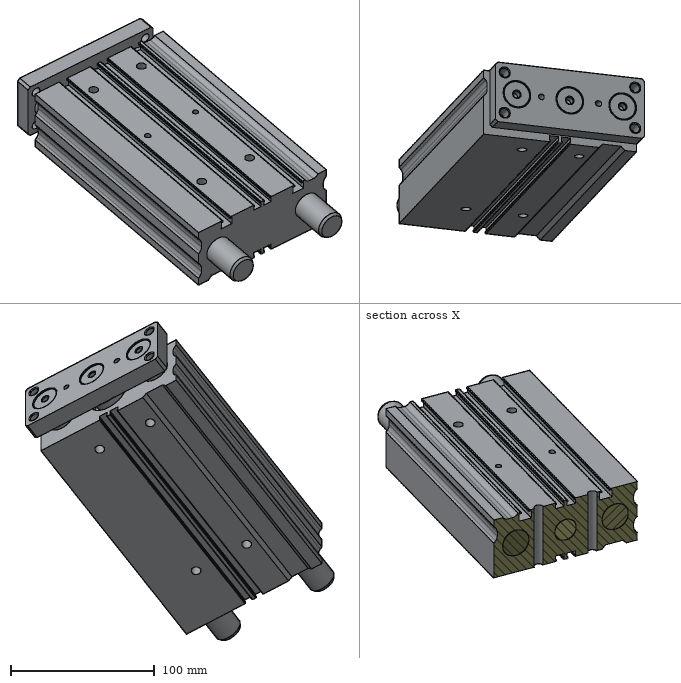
import cadquery as cq
import math


total_length = 238.0

plate_length, plate_width, plate_height = 12.1, 109.5, 44.3
plate_corner_chamfer = 2.0
corner_hole_y, corner_hole_z = 47.8, 15.0
corner_hole_diameter = 6.7
corner_hole_mouth_diameter = 8.0

housing_start, housing_length = 22.0, 187.3
housing_width, housing_height = 112.0, 48.0

rod_end_recess = 0.5
rod_end_chamfer = 0.7
guide_diameter, guide_y = 20.0, 38.8
guide_tip_chamfer_length, guide_tip_chamfer_depth = 2.1, 1.2
piston_diameter, piston_head_diameter = 16.2, guide_diameter
piston_end = housing_start + housing_length / 2
socket_diameter, socket_mouth_diameter, socket_depth = 5.0, 6.2, 6.0
socket_cone_angle = 118.0

collar_diameter, collar_projection = 22.8, 2.9
collar_recess_diameter, collar_recess_depth = 29.0, 6.0

mount_y = 21.0
mount_hole_diameter = 6.7
mount_hole_spacing = 124.0
mount_pattern_x = 105.0
dowel_diameter = 4.0
dowel_slot_length = 4.5
dowel_depth = 6.0

slot_lip, slot_mouth_chamfer = 1.5, 0.6
slot_y = 31.5
slot_opening, slot_inside_width, slot_depth = 6.0, 9.3, 7.0
channel_opening, channel_inside_width, channel_depth = 5.2, 6.5, 4.5
rib_width = 3.5

side_groove_z, side_groove_width, side_groove_arc_width = 11.2, 13.3, 10.2
top_groove_y, top_groove_width = 43.0, 11.7
groove_floor_width, groove_depth = 3.0, 2.5
groove_mouth_depth = 1.5
shoulder_drop = 0.5

bottom_recess_outer, bottom_recess_inner = 8.5, 27.5
bottom_recess_depth, bottom_recess_bevel = 2.9, 2.9

housing_end = housing_start + housing_length
half_width, half_height = housing_width / 2, housing_height / 2


def cylinder(diameter, start, end, y=0.0, z=0.0):
    """Round bar along X."""
    return cq.Workplane("YZ", origin=(start, y, z)).circle(diameter / 2).extrude(end - start)


def cone(start_diameter, length, start, y=0.0, z=0.0, end_diameter=0.0):
    """Cone along +X, from start_diameter at X = start."""
    return cq.Workplane(cq.Solid.makeCone(
        start_diameter / 2, end_diameter / 2, length, cq.Vector(start, y, z), cq.Vector(1, 0, 0)))


def make_plate():
    plate = cq.Workplane("YZ").rect(plate_width, plate_height).extrude(plate_length)
    plate = plate.edges("|X").chamfer(plate_corner_chamfer)
    for y in (-guide_y, 0, guide_y):
        plate = plate.cut(cylinder(guide_diameter, 0, plate_length, y))
    mouth_depth = (corner_hole_mouth_diameter - corner_hole_diameter) / 2
    for y in (-corner_hole_y, corner_hole_y):
        for z in (-corner_hole_z, corner_hole_z):
            plate = plate.cut(cylinder(corner_hole_diameter, 0, plate_length, y, z))
            plate = plate.cut(
                cone(corner_hole_mouth_diameter, mouth_depth, 0, y, z, corner_hole_diameter))
    dowel_slot = (cq.Workplane("YZ").center(-mount_y, 0)
                  .slot2D(dowel_slot_length, dowel_diameter).extrude(plate_length))
    return plate.cut(cylinder(dowel_diameter, 0, plate_length, mount_y)).cut(dowel_slot)


def cut_socket(rod, y):
    """Drilled hole with a bevelled mouth in the plate end of a rod."""
    mouth_depth = (socket_mouth_diameter - socket_diameter) / 2
    cone_length = socket_diameter / 2 / math.tan(math.radians(socket_cone_angle / 2))
    bottom = rod_end_recess + socket_depth
    rod = rod.cut(cylinder(socket_diameter, rod_end_recess, bottom, y))
    rod = rod.cut(cone(socket_diameter, cone_length, bottom, y))
    return rod.cut(cone(socket_mouth_diameter, mouth_depth, rod_end_recess, y, 0, socket_diameter))


def make_guide_rod(y):
    rod = cylinder(guide_diameter, rod_end_recess, total_length, y)
    rod = rod.faces(">X").chamfer(guide_tip_chamfer_length, guide_tip_chamfer_depth)
    rod = rod.faces("<X").chamfer(rod_end_chamfer)
    return cut_socket(rod, y)


def make_piston_rod():
    rod = cylinder(piston_head_diameter, rod_end_recess, plate_length).faces("<X").chamfer(rod_end_chamfer)
    rod = rod.union(cylinder(piston_diameter, plate_length, piston_end))
    return cut_socket(rod, 0)


def make_collar():
    """Plain ring standing on the floor of the housing's collar recess."""
    start = housing_start - collar_projection
    end = housing_start + collar_recess_depth
    return cylinder(collar_diameter, start, end).cut(cylinder(piston_diameter, start, end))


def section():
    """Sketch plane at the front end of the housing: local x is Y, local y is Z."""
    return cq.Workplane("YZ", origin=(housing_start, 0, 0))


def groove(width, arc_width, mouth_depth):
    """Shallow groove below Z = 0: bevelled mouth, two hollow arcs and a flat floor."""
    half_mouth, half_arc, half_floor = width / 2, arc_width / 2, groove_floor_width / 2
    run, rise = half_arc - half_floor, groove_depth - mouth_depth
    radius = (run ** 2 + rise ** 2) / (2 * rise)
    half_angle = math.asin(run / radius) / 2
    mid_y = half_floor + radius * math.sin(half_angle)
    mid_z = radius * (1 - math.cos(half_angle)) - groove_depth
    profile = section().moveTo(-half_mouth, 0)
    if mouth_depth > 0:
        profile = profile.lineTo(-half_arc, -mouth_depth)
    profile = (profile.threePointArc((-mid_y, mid_z), (-half_floor, -groove_depth))
               .lineTo(half_floor, -groove_depth)
               .threePointArc((mid_y, mid_z), (half_arc, -mouth_depth)))
    if mouth_depth > 0:
        profile = profile.lineTo(half_mouth, 0)
    return profile.close().extrude(housing_length)


def turned(cutter, angle):
    """Turn a cutter about the X axis."""
    return cutter.rotate((0, 0, 0), (1, 0, 0), angle)


def cut_side_grooves(body):
    cutter = groove(side_groove_width, side_groove_arc_width, groove_mouth_depth)
    for z in (-side_groove_z, side_groove_z):
        body = body.cut(turned(cutter, 90).translate((0, -half_width, z)))
    return body.cut(turned(cutter, -90).translate((0, half_width, side_groove_z)))


def cut_top_groove(body):
    """Groove along the +Y edge of the top face, with a lowered shoulder outside it."""
    shoulder_width = half_width - top_groove_y
    shoulder = (section().center(half_width - shoulder_width / 2, half_height - shoulder_drop / 2)
                .rect(shoulder_width, shoulder_drop).extrude(housing_length))
    cutter = groove(top_groove_width, top_groove_width, 0)
    return body.cut(shoulder).cut(cutter.translate((0, top_groove_y, half_height)))


def t_slot(y, opening, inside_width, depth):
    """T-slot in the top face, with a bevelled mouth."""
    inside_depth = depth - slot_lip
    half_opening = opening / 2
    neck = (section().center(y, half_height - slot_lip / 2)
            .rect(opening, slot_lip).extrude(housing_length))
    inside = (section().center(y, half_height - slot_lip - inside_depth / 2)
              .rect(inside_width, inside_depth).extrude(housing_length))
    mouth = (section().center(y, half_height)
             .polyline([(-half_opening - slot_mouth_chamfer, 0),
                        (-half_opening, -slot_mouth_chamfer),
                        (half_opening, -slot_mouth_chamfer),
                        (half_opening + slot_mouth_chamfer, 0)])
             .close().extrude(housing_length))
    return neck.union(inside).union(mouth)


def cut_deep_slots(body):
    for y in (-slot_y, slot_y):
        body = body.cut(t_slot(y, slot_opening, slot_inside_width, slot_depth))
    return body


def cut_rib_channels(body):
    """A pair of channels on top and bottom, leaving a rib between each pair."""
    channel_y = (rib_width + channel_opening) / 2
    for y in (-channel_y, channel_y):
        channel = t_slot(y, channel_opening, channel_inside_width, channel_depth)
        body = body.cut(channel).cut(turned(channel, 180))
    return body


def cut_bottom_recess(body):
    outer = bottom_recess_outer - half_width
    inner = bottom_recess_inner - half_width
    recess_top = bottom_recess_depth - half_height
    recess = (section()
              .polyline([(outer, -half_height),
                         (outer + bottom_recess_bevel, recess_top),
                         (inner - bottom_recess_bevel, recess_top),
                         (inner, -half_height)])
              .close().extrude(housing_length))
    return body.cut(recess)


def cut_top_holes(body):
    """Four through mounting holes, a round dowel hole and a dowel slot."""
    top = cq.Workplane("XY", origin=(mount_pattern_x, 0, half_height))
    mounts = (top.rect(mount_hole_spacing, 2 * mount_y, forConstruction=True).vertices()
              .circle(mount_hole_diameter / 2).extrude(-housing_height))
    dowel_hole = top.center(0, mount_y).circle(dowel_diameter / 2).extrude(-dowel_depth)
    dowel_slot = (top.center(0, -mount_y).slot2D(dowel_slot_length, dowel_diameter)
                  .extrude(-dowel_depth))
    return body.cut(mounts).cut(dowel_hole).cut(dowel_slot)


def cut_rod_bores(body):
    for y in (-guide_y, guide_y):
        body = body.cut(cylinder(guide_diameter, housing_start, housing_end, y))
    recess_end = housing_start + collar_recess_depth
    body = body.cut(cylinder(collar_recess_diameter, housing_start, recess_end))
    return body.cut(cylinder(piston_diameter, housing_start, piston_end))


def make_housing():
    body = section().rect(housing_width, housing_height).extrude(housing_length)
    body = cut_side_grooves(body)
    body = cut_top_groove(body)
    body = cut_deep_slots(body)
    body = cut_rib_channels(body)
    body = cut_bottom_recess(body)
    body = cut_top_holes(body)
    return cut_rod_bores(body)


plate = make_plate()
housing = make_housing()
collar = make_collar()
piston_rod = make_piston_rod()
guide_rods = [make_guide_rod(y) for y in (-guide_y, guide_y)]

result = cq.Compound.makeCompound(
    [plate.val(), housing.val(), collar.val(), piston_rod.val(), *[rod.val() for rod in guide_rods]])